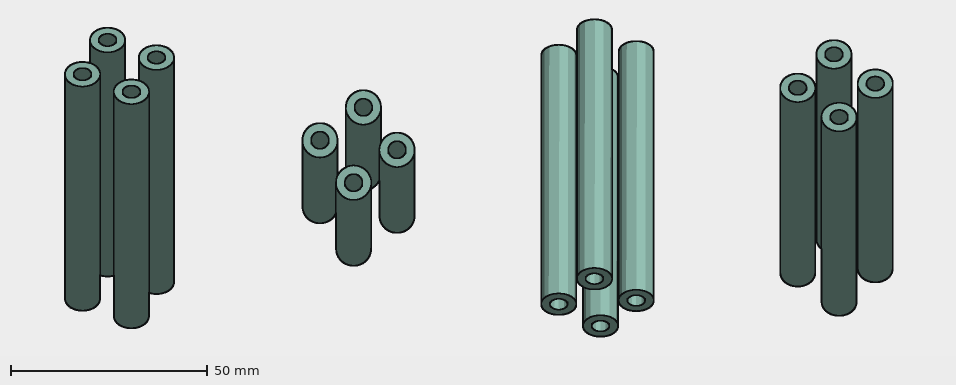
import cadquery as cq

tube_outer_diameter = 9.0
tube_bore_diameter = 4.5
tube_length = 80.0
tube_spacing = 14.0


def make_tube(x, y):
    """Plain tube standing on Z = 0, with its bore running right through."""
    return (
        cq.Workplane("XY")
        .center(x, y)
        .circle(tube_outer_diameter / 2)
        .circle(tube_bore_diameter / 2)
        .extrude(tube_length)
    )


half_spacing = tube_spacing / 2
tubes = []
for x in (-half_spacing, half_spacing):
    for y in (-half_spacing, half_spacing):
        tubes.append(make_tube(x, y).val())

result = cq.Compound.makeCompound(tubes)